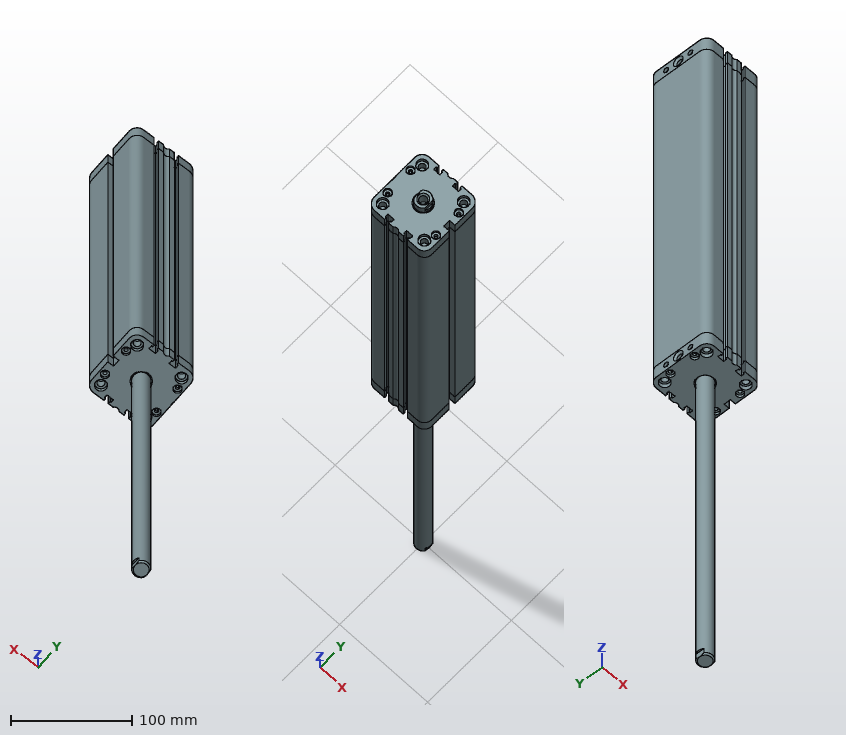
import cadquery as cq

total_length = 761.0
bottom_cap_z = 358.5
top_stub = 7.5
cap_height = 14.5
housing_top_z = total_length - top_stub
barrel_z = bottom_cap_z + cap_height
top_cap_z = housing_top_z - cap_height

width = 65.5
half_width = width / 2
corner_radius = 8.0

slot_offset = 11.0
slot_width = 4.5
slot_depth = 5.0
slot_lip = 2.0
slot_undercut_width = 7.0
groove_diameter = 7.5
groove_depth = 1.5

side_slot_width = 7.0
side_slot_depth = 6.0

rod_diameter = 16.0
rod_flats = 13.0
bottom_flat_length = 7.0
top_flat_length = 5.0
rod_chamfer = 1.5
rod_thread_diameter = 7.5
rod_thread_depth = 15.0
rod_countersink_diameter = 11.0

screw_offset = 23.5
screw_head_diameter = 11.0
screw_head_depth = 4.5
screw_hole_diameter = 6.6
pin_hole_x = 27.5
pin_hole_y = 14.0
pin_hole_diameter = 7.5
pin_hole_depth = 3.0
rod_recess_diameter = 18.0
rod_recess_depth = 1.5

port_diameter = 11.0
port_bore_diameter = 6.6
port_bore_depth = 11.5
side_hole_offset = 14.0
side_hole_diameter = 5.2
side_hole_depth = 3.0

step_bore_diameter = 3.5
step_bore_depth = 7.5


def mirrored_points(x, y):
    """The four points that mirror (x, y) in both axes."""
    return [(x, y), (-x, y), (x, -y), (-x, -y)]


def cylinders(plane, points, diameter, depth):
    """Cylinders at the given points of a plane, one depth along its normal."""
    return plane.pushPoints(points).circle(diameter / 2).extrude(depth)


def countersink(mouth, direction, mouth_diameter, hole_diameter):
    """45 degree cone that narrows from its mouth to the hole along the direction."""
    depth = (mouth_diameter - hole_diameter) / 2
    return cq.Workplane(cq.Solid.makeCone(mouth_diameter / 2, hole_diameter / 2, depth, mouth, direction))


def profile_block(bottom_z, height):
    """Length of the slotted square profile, with the rod bore through it."""
    plane = cq.Workplane("XY", origin=(0, 0, bottom_z))
    block = plane.rect(width, width).extrude(height).edges("|Z").fillet(corner_radius)

    openings = plane.pushPoints(mirrored_points(slot_offset, half_width))
    block = block.cut(openings.rect(slot_width, 2 * slot_depth).extrude(height))
    undercut_y = half_width - (slot_lip + slot_depth) / 2
    undercuts = plane.pushPoints(mirrored_points(slot_offset, undercut_y))
    block = block.cut(undercuts.rect(slot_undercut_width, slot_depth - slot_lip).extrude(height))

    groove_y = half_width + groove_diameter / 2 - groove_depth
    block = block.cut(cylinders(plane, [(0, -groove_y), (0, groove_y)], groove_diameter, height))

    side_slot = plane.center(half_width, 0).rect(2 * side_slot_depth, side_slot_width).extrude(height)
    rod_bore = plane.circle(rod_diameter / 2).extrude(height)
    return block.cut(side_slot).cut(rod_bore)


def cut_outer_face(cap, outer_z, inward):
    """Cut the screw, pin and rod recesses; inward is the Z direction (1 or -1) into the cap."""
    face = cq.Workplane("XY", origin=(0, 0, outer_z))
    screws = mirrored_points(screw_offset, screw_offset)
    cap = cap.cut(cylinders(face, screws, screw_head_diameter, inward * screw_head_depth))
    cap = cap.cut(cylinders(face, screws, screw_hole_diameter, inward * cap_height))

    pins = mirrored_points(pin_hole_x, pin_hole_y)
    cap = cap.cut(cylinders(face, pins, pin_hole_diameter, inward * pin_hole_depth))
    cap = cap.cut(cylinders(face, pins, step_bore_diameter, inward * step_bore_depth))

    return cap.cut(cylinders(face, [(0, 0)], rod_recess_diameter, inward * rod_recess_depth))


def cut_side_face(cap, middle_z):
    """Cut the port and the two stepped holes into the -X face at the middle height of the cap."""
    face = cq.Workplane("YZ", origin=(-half_width, 0, middle_z))
    cap = cap.cut(cylinders(face, [(0, 0)], port_bore_diameter, port_bore_depth))
    mouth = cq.Vector(-half_width, 0, middle_z)
    cap = cap.cut(countersink(mouth, cq.Vector(1, 0, 0), port_diameter, port_bore_diameter))

    side_points = [(-side_hole_offset, 0), (side_hole_offset, 0)]
    cap = cap.cut(cylinders(face, side_points, side_hole_diameter, side_hole_depth))
    return cap.cut(cylinders(face, side_points, step_bore_diameter, step_bore_depth))


def end_cap(bottom_z, outer_z, inward):
    """End cap with its outer face at outer_z; inward is the Z direction (1 or -1) into the cap."""
    cap = profile_block(bottom_z, cap_height)
    cap = cut_outer_face(cap, outer_z, inward)
    return cut_side_face(cap, bottom_z + cap_height / 2)


def piston_rod():
    """Through rod with flats facing +X and -X at both ends and a threaded hole in its top."""
    rod = cq.Workplane("XY").circle(rod_diameter / 2).extrude(total_length)
    rod = rod.faces("<Z").edges().chamfer(rod_chamfer)
    for end_z, flat_length in ((0, bottom_flat_length), (total_length, -top_flat_length)):
        end = cq.Workplane("XY", origin=(0, 0, end_z))
        waste_x = (rod_flats + rod_diameter) / 2
        waste = end.pushPoints([(-waste_x, 0), (waste_x, 0)])
        rod = rod.cut(waste.rect(rod_diameter, rod_diameter).extrude(flat_length))

    top = cq.Workplane("XY", origin=(0, 0, total_length))
    rod = rod.cut(cylinders(top, [(0, 0)], rod_thread_diameter, -rod_thread_depth))
    mouth = cq.Vector(0, 0, total_length)
    return rod.cut(countersink(mouth, cq.Vector(0, 0, -1), rod_countersink_diameter, rod_thread_diameter))


barrel = profile_block(barrel_z, top_cap_z - barrel_z)
bottom_cap = end_cap(bottom_cap_z, bottom_cap_z, 1)
top_cap = end_cap(top_cap_z, housing_top_z, -1)
rod = piston_rod()

result = cq.Compound.makeCompound([barrel.val(), bottom_cap.val(), top_cap.val(), rod.val()])